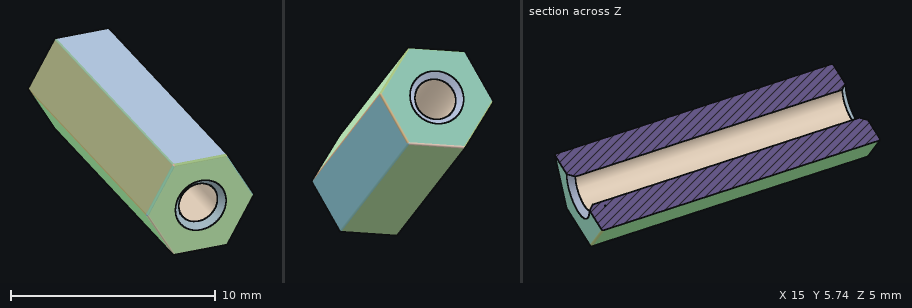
import cadquery as cq
import math

length = 15.0
across_flats = length / 3
edge_radius = 0.1
bore_diameter = 2.05
countersink_diameter = 2.7
countersink_angle = 90.0


def hexagonal_body():
    """Hexagonal bar centred on the origin, with every outer edge rounded."""
    across_corners = across_flats / math.cos(math.radians(30))
    bar = cq.Workplane("YZ").polygon(6, across_corners).extrude(length / 2, both=True)
    return bar.edges().fillet(edge_radius)


def countersunk_bore(body, end):
    """Drill the through bore from one end face, with a conical mouth there."""
    return body.faces(end).workplane(centerOption="CenterOfBoundBox").cskHole(
        bore_diameter, countersink_diameter, countersink_angle
    )


result = hexagonal_body()
for end_face in ("<X", ">X"):
    result = countersunk_bore(result, end_face)